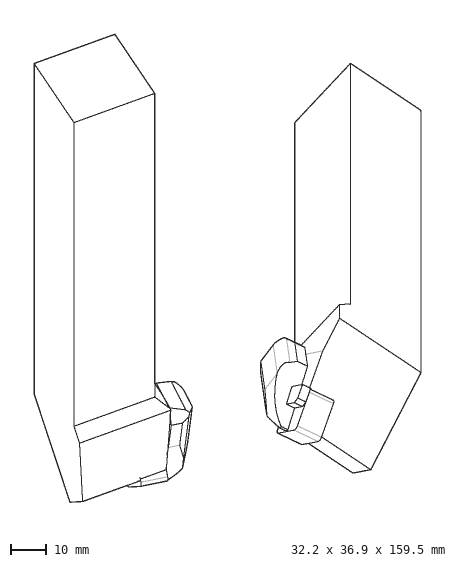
import cadquery as cq
import math

total_height = 159.5
shank_width = 25.0
head_step_y = 3.8
head_step_x = 3.5
head_top = 35.5
side_cut_height = 24.5
side_slope = 5.0
corner_height = 10.0

rake_angle = 8.0
insert_side = 12.6
insert_thickness = 8.0
insert_corner_radius = 1.2
tip = (23.8, 25.5, -0.5)

breaker_height = 2.7
breaker_setback = 7.2
breaker_length = 11.2
breaker_chamfer = 1.3

clamp_center = -1.5
clamp_half_width = 7.5
clamp_height = 8.1
clamp_end = 32.4
left_end_chamfer = (2.0, 4.0)
right_end_chamfer = (2.9, 4.1)
clamp_shoulder = 19.5
nose_end = 4.3
nose_left = 3.5
nose_right = 4.1
nose_height = 2.2
nose_arc_start = 17.4
nose_arc_middle = (10.0, 6.9)
end_slope_top = (31.1, 4.8)
clamp_ridge = 28.5
side_wall_height = 3.3
side_bevel_height = 5.5
side_bevel_inset = 0.8
round_roof_inset = 3.7
round_roof_point = (1.6, 7.2)
flat_roof_inset = 5.0

tilt = math.radians(rake_angle)
seat_normal = cq.Vector(math.sin(tilt) / math.sqrt(2), math.cos(tilt), -math.sin(tilt) / math.sqrt(2))
up_in_seat = cq.Vector(0, 0, 1) - seat_normal * seat_normal.z
insert_plane = cq.Plane(origin=tip, xDir=(1, 0, 1), normal=seat_normal)
clamp_plane = cq.Plane(origin=tip, xDir=up_in_seat, normal=seat_normal)


def make_insert():
    return (
        cq.Workplane(insert_plane)
        .rect(insert_side, -insert_side, centered=False)
        .extrude(-insert_thickness)
        .edges(cq.ParallelDirSelector(seat_normal))
        .fillet(insert_corner_radius)
    )


def make_head_outline():
    head_shoulder = head_top - head_step_x
    head_side = shank_width + head_step_x
    side_run = (head_shoulder - corner_height) * math.tan(math.radians(side_slope))
    lower_right_x = head_side + side_run
    lowest_x = (side_cut_height + lower_right_x - corner_height) / 2
    lowest_z = side_cut_height - lowest_x
    front = (
        cq.Workplane("XZ")
        .moveTo(0, side_cut_height)
        .lineTo(0, total_height)
        .lineTo(shank_width, total_height)
        .lineTo(shank_width, head_top)
        .lineTo(head_side, head_shoulder)
        .lineTo(lower_right_x, corner_height)
        .lineTo(lowest_x, lowest_z)
        .close()
        .extrude(-(shank_width + head_step_y))
    )
    side = (
        cq.Workplane("YZ")
        .moveTo(0, 0)
        .lineTo(0, total_height)
        .lineTo(shank_width, total_height)
        .lineTo(shank_width, head_top)
        .lineTo(shank_width + head_step_y, head_top - head_step_y)
        .lineTo(shank_width + head_step_y, 0)
        .close()
        .extrude(lower_right_x)
    )
    return front.intersect(side)


def make_seat_cutter():
    """Block above the seat plane, large enough to clear the whole head."""
    reach = 2 * head_top
    return cq.Workplane(clamp_plane).rect(reach, reach).extrude(shank_width)


def make_clamp():
    left = clamp_center - clamp_half_width
    right = clamp_center + clamp_half_width
    left_across, left_along = left_end_chamfer
    right_across, right_along = right_end_chamfer
    plan = (
        cq.Workplane(clamp_plane)
        .polyline([
            (nose_end, nose_left),
            (clamp_shoulder, left),
            (clamp_end - left_along, left),
            (clamp_end, left + left_across),
            (clamp_end, right - right_across),
            (clamp_end - right_along, right),
            (clamp_shoulder, right),
            (nose_end, nose_right),
        ])
        .close()
        .extrude(clamp_height)
    )
    profile_plane = cq.Plane(origin=tip, xDir=up_in_seat, normal=up_in_seat.cross(seat_normal))
    profile = (
        cq.Workplane(profile_plane)
        .moveTo(nose_end, 0)
        .lineTo(clamp_end, 0)
        .lineTo(*end_slope_top)
        .lineTo(clamp_ridge, clamp_height)
        .lineTo(nose_arc_start, clamp_height)
        .threePointArc(nose_arc_middle, (nose_end, nose_height))
        .close()
        .extrude(2 * clamp_half_width, both=True)
    )
    section_plane = cq.Plane(origin=tip, xDir=seat_normal.cross(up_in_seat), normal=up_in_seat)
    round_inset, round_height = round_roof_point
    bevel_left = left + side_bevel_inset
    bevel_right = right - side_bevel_inset
    section = (
        cq.Workplane(section_plane)
        .moveTo(left, 0)
        .lineTo(left, side_wall_height)
        .lineTo(bevel_left, side_bevel_height)
        .threePointArc((left + round_inset, round_height), (left + round_roof_inset, clamp_height))
        .lineTo(right - flat_roof_inset, clamp_height)
        .lineTo(bevel_right, side_bevel_height)
        .lineTo(right, side_wall_height)
        .lineTo(right, 0)
        .close()
        .extrude(clamp_end)
    )
    return plan.intersect(profile).intersect(section)


def make_chip_breaker():
    return (
        cq.Workplane(insert_plane)
        .moveTo(0, -insert_side)
        .lineTo(breaker_length, -insert_side)
        .lineTo(breaker_length, -breaker_setback)
        .lineTo(breaker_chamfer, -breaker_setback)
        .lineTo(0, -breaker_setback - breaker_chamfer)
        .close()
        .extrude(breaker_height)
    )


def make_holder(insert):
    body = make_head_outline().cut(make_seat_cutter()).cut(insert)
    return body.union(make_clamp()).union(make_chip_breaker())


insert = make_insert()
holder = make_holder(insert)

result = cq.Compound.makeCompound([holder.val(), insert.val()])